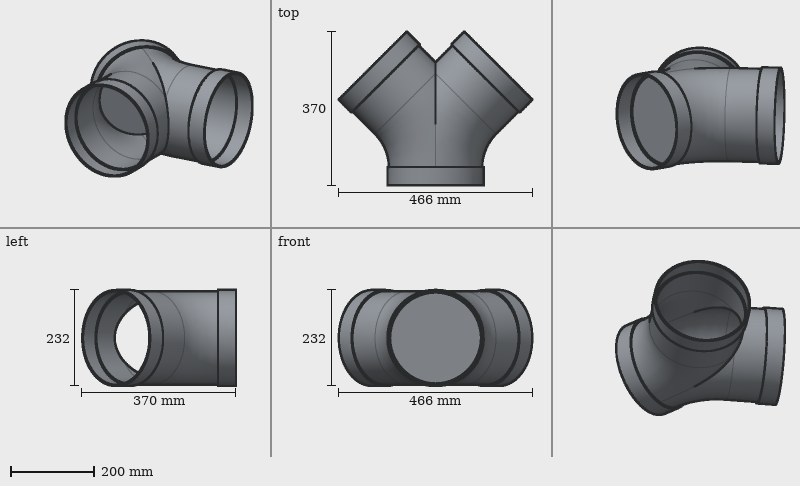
import cadquery as cq
import math

pipe_diameter = 225.0
wall = 3.5
collar_length = 43.8
branch_straight = 76.5
branch_angle = 45
collar_overlap = 2.0

bend_radius = pipe_diameter
pipe_bore = pipe_diameter - 2 * wall
collar_diameter = pipe_diameter + 2 * wall
cut_box_size = 4 * collar_diameter

turn = math.radians(branch_angle)
branch_direction = cq.Vector(-math.sin(turn), math.cos(turn), 0)
inlet_direction = cq.Vector(0, 1, 0)
bend_start = cq.Vector(0, collar_length, 0)
bend_end = cq.Vector(
    -bend_radius * (1 - math.cos(turn)),
    collar_length + bend_radius * math.sin(turn),
    0,
)
branch_collar_start = bend_end + branch_direction * branch_straight


def cylinder(diameter, length, start, direction):
    """Solid cylinder growing from start along direction."""
    return cq.Workplane(cq.Solid.makeCylinder(diameter / 2, length, start, direction))


def bend(diameter):
    """Solid torus sector that turns from the inlet axis to the branch axis."""
    return (
        cq.Workplane("XZ", origin=bend_start.toTuple())
        .circle(diameter / 2)
        .revolve(branch_angle, (-bend_radius, 0, 0), (-bend_radius, 1, 0))
    )


def branch_pipe(diameter):
    """Solid bend and straight pipe, ending just inside the branch collar."""
    straight = cylinder(diameter, branch_straight + collar_overlap, bend_end, branch_direction)
    return bend(diameter).union(straight)


def collar(start, direction):
    """Open ring that fits over the end of a pipe."""
    outside = cylinder(collar_diameter, collar_length, start, direction)
    bore = cylinder(pipe_diameter, collar_length, start, direction)
    return outside.cut(bore)


left_side = cq.Workplane("XY").box(
    cut_box_size, cut_box_size, cut_box_size, centered=(False, True, True)
).translate((-cut_box_size, collar_length, 0))
left_branch = branch_pipe(pipe_diameter).cut(branch_pipe(pipe_bore)).intersect(left_side)
left_branch = left_branch.union(collar(branch_collar_start, branch_direction))

branches = left_branch.union(left_branch.mirror("YZ"))

inlet_collar = collar(cq.Vector(0, 0, 0), inlet_direction)
disc_start = cq.Vector(0, collar_length - collar_overlap, 0)
inlet_disc = cylinder(pipe_diameter, collar_overlap, disc_start, inlet_direction)

result = branches.union(inlet_collar.union(inlet_disc))